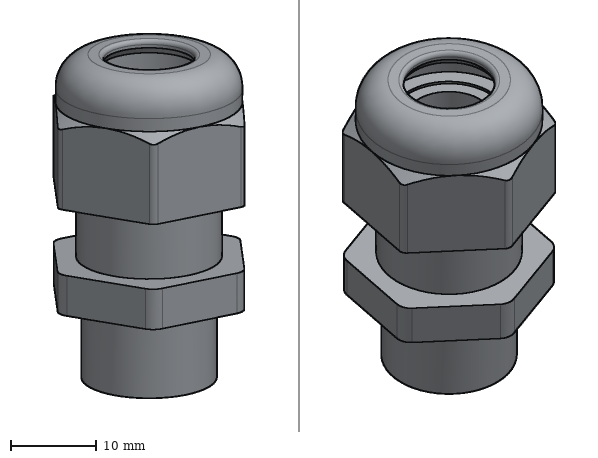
import cadquery as cq
import math

total_height = 40.0
across_flats = 22.0

stub_radius = 8.0
collar_bottom = 10.0
collar_top = 15.0
collar_corner_radius = 2.0
neck_radius = 8.6
neck_top = 34.85
bore_radius = 5.1

seal_radius = 6.7
seal_top = 34.5
seal_bottom = 24.0

nut_bottom = 23.1
nut_corner_radius = 1.0
band_bottom = 34.1
band_top = 35.7
corner_drop = 1.1
dome_flat_radius = 7.2
throat_radius = 5.35
lip_radius = 0.55
throat_depth = 1.0
flare_radius = 5.8
flare_depth = 1.75

band_radius = across_flats / 2
dome_width = band_radius - dome_flat_radius
dome_height = total_height - band_top
arc_middle = math.sqrt(0.5)


def cylinder(radius, bottom, top):
    return cq.Workplane("XY").workplane(offset=bottom).circle(radius).extrude(top - bottom)


def hexagon(corner_radius, bottom, top):
    """Hexagonal prism with rounded corners and two flats facing +X and -X."""
    corner_diameter = across_flats / math.cos(math.pi / 6)
    prism = (
        cq.Workplane("XY")
        .workplane(offset=bottom)
        .transformed(rotate=(0, 0, 30))
        .polygon(6, corner_diameter)
        .extrude(top - bottom)
    )
    return prism.edges("|Z").fillet(corner_radius)


def make_gland_body():
    body = (
        cylinder(stub_radius, 0, collar_bottom)
        .union(hexagon(collar_corner_radius, collar_bottom, collar_top))
        .union(cylinder(neck_radius, collar_top, neck_top))
    )
    seal_recess = cylinder(seal_radius, seal_bottom, neck_top)
    return body.cut(cylinder(bore_radius, 0, neck_top)).cut(seal_recess)


def make_seal():
    return cylinder(seal_radius, seal_bottom, seal_top).cut(cylinder(bore_radius, seal_bottom, seal_top))


def make_chamfered_hexagon():
    """Nut hexagon whose upper corners are turned off by a cone."""
    corner_reach = across_flats / 2 / math.cos(math.pi / 6)
    rounded_reach = corner_reach - nut_corner_radius * (1 / math.cos(math.pi / 6) - 1)
    slope = corner_drop / (rounded_reach - band_radius)
    cone_drop = slope * (corner_reach - band_radius)
    turned_blank = (
        cq.Workplane("XZ")
        .moveTo(0, nut_bottom)
        .lineTo(corner_reach, nut_bottom)
        .lineTo(corner_reach, band_bottom - cone_drop)
        .lineTo(band_radius, band_bottom)
        .lineTo(0, band_bottom)
        .close()
        .revolve(360, (0, 0, 0), (0, 1, 0))
    )
    return hexagon(nut_corner_radius, nut_bottom, band_bottom).intersect(turned_blank)


def make_dome():
    """Cylindrical band whose upper edge is rounded over in one arc."""
    return (
        cq.Workplane("XZ")
        .moveTo(0, band_bottom)
        .lineTo(band_radius, band_bottom)
        .lineTo(band_radius, band_top)
        .threePointArc(
            (dome_flat_radius + dome_width * arc_middle, band_top + dome_height * arc_middle),
            (dome_flat_radius, total_height),
        )
        .lineTo(0, total_height)
        .close()
        .revolve(360, (0, 0, 0), (0, 1, 0))
    )


def make_nut_opening():
    """Rounded mouth, short throat, conical flare and the cavity that takes the neck."""
    return (
        cq.Workplane("XZ")
        .moveTo(0, nut_bottom)
        .lineTo(neck_radius, nut_bottom)
        .lineTo(neck_radius, total_height - flare_depth)
        .lineTo(flare_radius, total_height - flare_depth)
        .lineTo(throat_radius, total_height - throat_depth)
        .lineTo(throat_radius, total_height - lip_radius)
        .threePointArc(
            (
                throat_radius + lip_radius * (1 - arc_middle),
                total_height - lip_radius * (1 - arc_middle),
            ),
            (throat_radius + lip_radius, total_height),
        )
        .lineTo(0, total_height)
        .close()
        .revolve(360, (0, 0, 0), (0, 1, 0))
    )


def make_cap_nut():
    return make_chamfered_hexagon().union(make_dome()).cut(make_nut_opening())


gland_body = make_gland_body()
seal = make_seal()
cap_nut = make_cap_nut()

result = cq.Compound.makeCompound([gland_body.val(), seal.val(), cap_nut.val()])